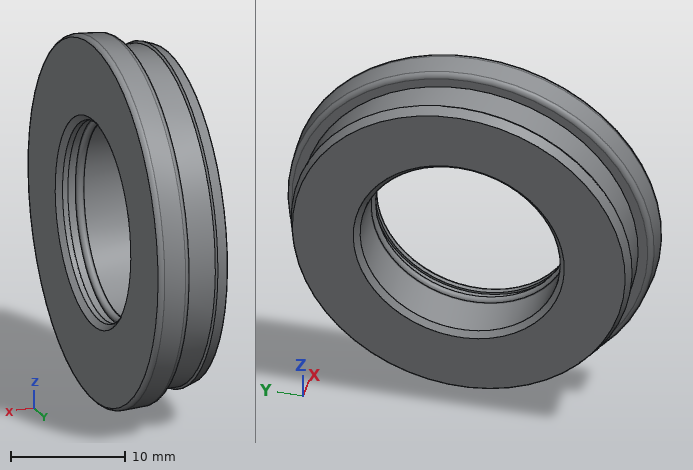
import cadquery as cq
import math

WIDTH = 7.0
FLANGE_RADIUS = 16.65

RIM_FRONT_RADIUS = 15.02
RIM_RADIUS = 15.4
RIM_WIDTH = 1.03
GROOVE_START = 1.2
BODY_RADIUS = 15.2

FLANGE_START = 4.0
FLANGE_ROUND = 0.45
FLANGE_FRONT_RADIUS = 16.52
REAR_EDGE_WIDTH = 0.53
REAR_EDGE_DROP = 0.25

BORE_RADIUS = 9.02
BORE_CHAMFER = 0.5

SEAL_START = 4.5
SEAL_END = 6.0
SEAL_OUTER_RADIUS = 10.0
SEAL_BASE_RADIUS = 9.22
BEAD_TIP_RADIUS = 8.72
BEAD_ROUND = 0.35
BEAD_CENTRE_X = SEAL_START + BEAD_ROUND
BEAD_CENTRE_RADIUS = BEAD_TIP_RADIUS + BEAD_ROUND


def revolve_about_x(profile):
    """Turn a closed profile, drawn as (X, radius), about the X axis."""
    return profile.revolve(360, (0, 0, 0), (1, 0, 0))


def make_housing():
    """Flanged housing with the seal groove cut into its bore."""
    arc_inset = FLANGE_ROUND * (1 - math.sqrt(0.5))
    profile = (
        cq.Workplane("XZ")
        .moveTo(0, BORE_RADIUS + BORE_CHAMFER)
        .lineTo(0, RIM_FRONT_RADIUS)
        .lineTo(RIM_WIDTH, RIM_RADIUS)
        .lineTo(GROOVE_START, BODY_RADIUS)
        .lineTo(FLANGE_START, BODY_RADIUS)
        .lineTo(FLANGE_START, FLANGE_FRONT_RADIUS - FLANGE_ROUND)
        .threePointArc(
            (FLANGE_START + arc_inset, FLANGE_FRONT_RADIUS - arc_inset),
            (FLANGE_START + FLANGE_ROUND, FLANGE_FRONT_RADIUS),
        )
        .lineTo(WIDTH - REAR_EDGE_WIDTH, FLANGE_RADIUS)
        .tangentArcPoint((WIDTH, FLANGE_RADIUS - REAR_EDGE_DROP), relative=False)
        .lineTo(WIDTH, BORE_RADIUS + BORE_CHAMFER)
        .lineTo(WIDTH - BORE_CHAMFER, BORE_RADIUS)
        .lineTo(SEAL_END, BORE_RADIUS)
        .lineTo(SEAL_END, SEAL_OUTER_RADIUS)
        .lineTo(SEAL_START, SEAL_OUTER_RADIUS)
        .lineTo(SEAL_START, BORE_RADIUS)
        .lineTo(BORE_CHAMFER, BORE_RADIUS)
        .close()
    )
    return revolve_about_x(profile)


def make_seal_ring():
    """Seal ring whose bead stands inside the bore and whose base is set back from it."""
    profile = (
        cq.Workplane("XZ")
        .moveTo(SEAL_START, SEAL_OUTER_RADIUS)
        .lineTo(SEAL_START, BEAD_CENTRE_RADIUS)
        .threePointArc(
            (BEAD_CENTRE_X, BEAD_TIP_RADIUS),
            (BEAD_CENTRE_X + BEAD_ROUND, BEAD_CENTRE_RADIUS),
        )
        .lineTo(BEAD_CENTRE_X + BEAD_ROUND, SEAL_BASE_RADIUS)
        .lineTo(SEAL_END, SEAL_BASE_RADIUS)
        .lineTo(SEAL_END, SEAL_OUTER_RADIUS)
        .close()
    )
    return revolve_about_x(profile)


housing = make_housing()
seal_ring = make_seal_ring()
result = cq.Compound.makeCompound([housing.val(), seal_ring.val()])